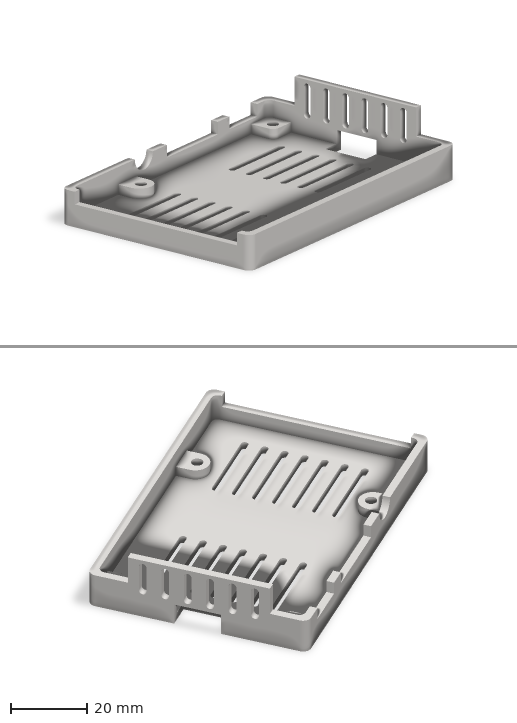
import cadquery as cq

WIDTH = 62.0
LENGTH = 90.0
WALL_TOP = 9.9
WALL = 2.2
FLOOR = 2.2
OUTER_RADIUS = 2.25
INNER_RADIUS = 1.8
INNER_HALF_WIDTH = WIDTH / 2 - WALL
INNER_HALF_LENGTH = LENGTH / 2 - WALL

TAB_TOP = 18.0
TAB_WIDTH = 39.9
TAB_X = -0.4
TAB_SLOT_COUNT = 6
TAB_SLOT_PITCH = 6.3
TAB_SLOT_WIDTH = 2.2
TAB_SLOT_BOTTOM = 7.2
TAB_SLOT_TOP = 16.9

VENT_COUNT = 7
VENT_ROW_SPAN = 33.75
VENT_PITCH = VENT_ROW_SPAN / (VENT_COUNT - 1)
VENT_WIDTH = 2.0
VENT_LENGTH = 23.4
VENT_X = 0.2
VENT_ROWS_Y = (21.6, -23.9)

BOSS_TOP = 5.0
SCREW_DIAMETER = 3.2
SCREW_X = 24.4
BACK_SCREW_Y = 39.0
FRONT_SCREW_Y = -18.9
BACK_BOSS_INNER_X = 21.3
BACK_BOSS_FRONT_Y = 35.5
BACK_BOSS_RADIUS = 1.8
FRONT_BOSS_RADIUS = 4.0
FRONT_BOSS_X = 24.9

NOTCH_DEPTH = 3.5
FRONT_NOTCH_WIDTH = 53.1
SIDE_NOTCHES_Y = ((25.8, 38.1), (-1.5, 20.8))
CABLE_NOTCH_Y = -11.6
CABLE_NOTCH_RADIUS = 4.0

PORT_WIDTH = 13.1
PORT_FRONT_Y = 38.1
PORT_TOP = 6.1


def box(x_range, y_range, z_range):
    """Box spanning the given (low, high) ranges."""
    sizes = [high - low for low, high in (x_range, y_range, z_range)]
    corner = (x_range[0], y_range[0], z_range[0])
    return cq.Workplane("XY").box(*sizes, centered=False).translate(corner)


def rounded_block(width, length, height, radius):
    """Centred block standing on Z = 0 with rounded vertical edges."""
    return cq.Workplane("XY").rect(width, length).extrude(height).edges("|Z").fillet(radius)


def make_tray():
    """Open-topped tray with rounded vertical corners."""
    outer = rounded_block(WIDTH, LENGTH, WALL_TOP, OUTER_RADIUS)
    cavity = rounded_block(2 * INNER_HALF_WIDTH, 2 * INNER_HALF_LENGTH, WALL_TOP - FLOOR, INNER_RADIUS)
    return outer.cut(cavity.translate((0, 0, FLOOR)))


def make_tab():
    """Upright plate in line with the back wall."""
    x_range = (TAB_X - TAB_WIDTH / 2, TAB_X + TAB_WIDTH / 2)
    return box(x_range, (INNER_HALF_LENGTH, LENGTH / 2), (FLOOR, TAB_TOP))


def make_back_boss():
    """Right-hand corner boss, rounded at its free corner and set into both walls."""
    boss = box(
        (BACK_BOSS_INNER_X, INNER_HALF_WIDTH + WALL / 2),
        (BACK_BOSS_FRONT_Y, INNER_HALF_LENGTH + WALL / 2),
        (0, BOSS_TOP),
    )
    boss = boss.edges("|Z and <X and <Y").fillet(BACK_BOSS_RADIUS)
    return boss.intersect(rounded_block(WIDTH, LENGTH, BOSS_TOP, OUTER_RADIUS))


def make_front_boss():
    """Right-hand boss with a half-round end, set into the side wall."""
    round_end = cq.Workplane("XY").center(FRONT_BOSS_X, FRONT_SCREW_Y)
    round_end = round_end.circle(FRONT_BOSS_RADIUS).extrude(BOSS_TOP)
    bridge = box(
        (FRONT_BOSS_X, INNER_HALF_WIDTH + WALL / 2),
        (FRONT_SCREW_Y - FRONT_BOSS_RADIUS, FRONT_SCREW_Y + FRONT_BOSS_RADIUS),
        (0, BOSS_TOP),
    )
    return round_end.union(bridge)


def make_screw_holes():
    centers = [(side * SCREW_X, y) for side in (-1, 1) for y in (BACK_SCREW_Y, FRONT_SCREW_Y)]
    return cq.Workplane("XY").pushPoints(centers).circle(SCREW_DIAMETER / 2).extrude(BOSS_TOP)


def make_floor_vents():
    first_x = VENT_X - VENT_ROW_SPAN / 2
    centers = [(first_x + i * VENT_PITCH, y) for i in range(VENT_COUNT) for y in VENT_ROWS_Y]
    return cq.Workplane("XY").pushPoints(centers).slot2D(VENT_LENGTH, VENT_WIDTH, 90).extrude(FLOOR)


def make_tab_slots():
    height = TAB_SLOT_TOP - TAB_SLOT_BOTTOM
    middle_z = (TAB_SLOT_TOP + TAB_SLOT_BOTTOM) / 2
    first_x = TAB_X - (TAB_SLOT_COUNT - 1) / 2 * TAB_SLOT_PITCH
    return (
        cq.Workplane("XZ", origin=(0, LENGTH / 2, 0))
        .pushPoints([(first_x + i * TAB_SLOT_PITCH, middle_z) for i in range(TAB_SLOT_COUNT)])
        .slot2D(height, TAB_SLOT_WIDTH, 90)
        .extrude(WALL)
    )


def make_wall_notches():
    """Open-topped notches in the front wall and the left wall."""
    z_range = (WALL_TOP - NOTCH_DEPTH, WALL_TOP)
    front_x = (-FRONT_NOTCH_WIDTH / 2, FRONT_NOTCH_WIDTH / 2)
    notches = box(front_x, (-LENGTH / 2, -INNER_HALF_LENGTH), z_range)
    for y_range in SIDE_NOTCHES_Y:
        notches = notches.union(box((-WIDTH / 2, -INNER_HALF_WIDTH), y_range, z_range))
    cable_notch = (
        cq.Workplane("YZ", origin=(-WIDTH / 2, 0, 0))
        .center(CABLE_NOTCH_Y, WALL_TOP)
        .circle(CABLE_NOTCH_RADIUS)
        .extrude(WALL)
    )
    return notches.union(cable_notch)


def make_port():
    return box((-PORT_WIDTH / 2, PORT_WIDTH / 2), (PORT_FRONT_Y, LENGTH / 2), (0, PORT_TOP))


result = make_tray().union(make_tab())
for boss in (make_back_boss(), make_front_boss()):
    result = result.union(boss).union(boss.mirror("YZ"))
for opening in (make_screw_holes(), make_floor_vents(), make_tab_slots(), make_wall_notches(), make_port()):
    result = result.cut(opening)